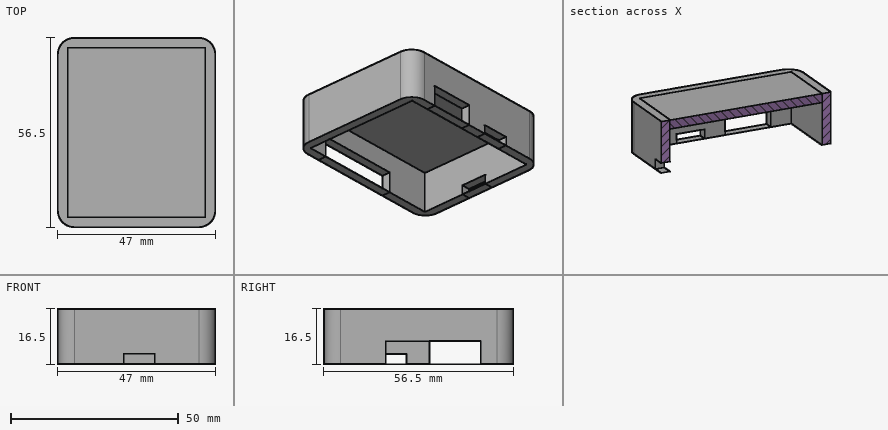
import cadquery as cq

LENGTH = 56.5
WIDTH = 47.0
HEIGHT = 16.5
CORNER_RADIUS = 5.0
WALL = 3.0

PANEL_THICKNESS = WALL
PANEL_WIDTH = WIDTH - 2 * WALL
PANEL_LENGTH = LENGTH - 2 * WALL

SILL = 0.05
TALL_TOP = 6.9
LOW_TOP = 3.0
END_TOP = 3.15

TALL_WINDOW_Y = (3.3, 18.5)
LOW_WINDOW_Y = (-12.95, -3.6)

WIDE_WINDOW_Y = (-9.7, TALL_WINDOW_Y[1])

END_WINDOW_X = (-3.85, 5.35)


def block(x_limits, y_limits, z_limits):
    """Rectangular block between the given limits."""
    limits = (x_limits, y_limits, z_limits)
    sizes = [high - low for low, high in limits]
    corner = tuple(low for low, high in limits)
    return cq.Workplane("XY").box(*sizes, centered=False).translate(corner)


def make_frame():
    """Rounded outer frame, open through the middle."""
    outer = (
        cq.Workplane("XY")
        .rect(WIDTH, LENGTH)
        .extrude(HEIGHT)
        .edges("|Z")
        .fillet(CORNER_RADIUS)
    )
    cavity = cq.Workplane("XY").rect(PANEL_WIDTH, PANEL_LENGTH).extrude(HEIGHT)
    return outer.cut(cavity)


def cut_windows(frame):
    """Cut the connector openings through the side walls."""
    left_wall = (-WIDTH / 2, -PANEL_WIDTH / 2)
    right_wall = (PANEL_WIDTH / 2, WIDTH / 2)
    end_wall = (-LENGTH / 2, -PANEL_LENGTH / 2)
    windows = [
        block(left_wall, TALL_WINDOW_Y, (SILL, TALL_TOP)),
        block(left_wall, LOW_WINDOW_Y, (SILL, LOW_TOP)),
        block(right_wall, WIDE_WINDOW_Y, (SILL, TALL_TOP)),
        block(END_WINDOW_X, end_wall, (SILL, END_TOP)),
    ]
    for window in windows:
        frame = frame.cut(window)
    return frame


def make_panel():
    """Flat rectangular panel closing the top of the frame."""
    return (
        cq.Workplane("XY")
        .workplane(offset=HEIGHT - PANEL_THICKNESS)
        .rect(PANEL_WIDTH, PANEL_LENGTH)
        .extrude(PANEL_THICKNESS)
    )


housing = cut_windows(make_frame())
panel = make_panel()

result = cq.Compound.makeCompound([housing.solids().val(), panel.val()])